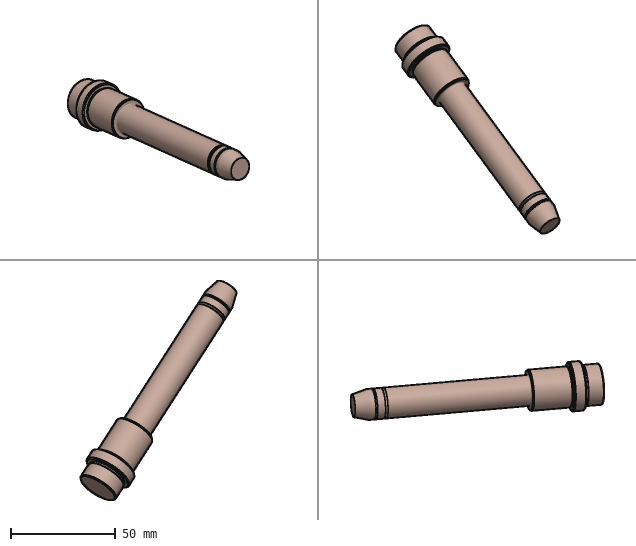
import cadquery as cq
import math

total_length = 121.0
head_diameter = 20.0
collar_diameter = 24.0
shank_diameter = 15.0

collar_start = 9.0
collar_width = 6.0
shoulder_end = 35.1

head_chamfer = 0.5
collar_chamfer = 0.6
shoulder_chamfer_length = 0.7
shoulder_chamfer_depth = 0.4
root_fillet = 0.4
relief_depth = 0.3
front_relief_width = 1.2
rear_relief_width = 0.7

tip_length = 7.3
tip_angle = 15.0
ring_grooves = [(105.4, 1.2), (110.5, 0.8)]

collar_end = collar_start + collar_width
tip_diameter = shank_diameter - 2 * tip_length * math.tan(math.radians(tip_angle))


def cylinder(start, end, diameter):
    """Solid round section between two stations on the axis."""
    plane = cq.Workplane("YZ", origin=(start, 0, 0))
    return plane.circle(diameter / 2).extrude(end - start)


def ring_cut(start, width, diameter, depth):
    """Ring of material to remove from the surface of a round section."""
    outer = cylinder(start, start + width, diameter)
    return outer.cut(cylinder(start, start + width, diameter - 2 * depth))


def make_head():
    head = cylinder(0, collar_start, head_diameter)
    head = head.faces("<X").chamfer(head_chamfer)
    relief_start = collar_start - front_relief_width
    return head.cut(ring_cut(relief_start, front_relief_width, head_diameter, relief_depth))


def make_collar():
    collar = cylinder(collar_start, collar_end, collar_diameter)
    return collar.faces("<X or >X").chamfer(collar_chamfer)


def make_shoulder():
    shoulder = cylinder(collar_end, shoulder_end, head_diameter)
    shoulder = shoulder.faces(">X").chamfer(shoulder_chamfer_length, shoulder_chamfer_depth)
    return shoulder.cut(ring_cut(collar_end, rear_relief_width, head_diameter, relief_depth))


def make_root_fillet():
    """Concave ring blending the shoulder face into the shank."""
    shank_radius = shank_diameter / 2
    sag = root_fillet * (1 - math.sqrt(0.5))
    return (
        cq.Workplane("XY")
        .moveTo(shoulder_end, 0)
        .lineTo(shoulder_end, shank_radius + root_fillet)
        .threePointArc(
            (shoulder_end + sag, shank_radius + sag),
            (shoulder_end + root_fillet, shank_radius),
        )
        .lineTo(shoulder_end + root_fillet, 0)
        .close()
        .revolve(360, (0, 0, 0), (1, 0, 0))
    )


def round_groove(start, width):
    """Torus that cuts a half-round groove into the shank surface."""
    center = (start + width / 2, shank_diameter / 2)
    profile = cq.Workplane("XY").moveTo(*center).circle(width / 2)
    return profile.revolve(360, (0, 0, 0), (1, 0, 0))


def make_shank():
    tip_start = total_length - tip_length
    shank = cylinder(shoulder_end, tip_start, shank_diameter)
    for start, width in ring_grooves:
        shank = shank.cut(round_groove(start, width))
    tip = (
        cq.Workplane("YZ", origin=(tip_start, 0, 0))
        .circle(shank_diameter / 2)
        .workplane(offset=tip_length)
        .circle(tip_diameter / 2)
        .loft()
    )
    return shank.union(tip)


result = (
    make_head()
    .union(make_collar())
    .union(make_shoulder())
    .union(make_root_fillet())
    .union(make_shank())
)